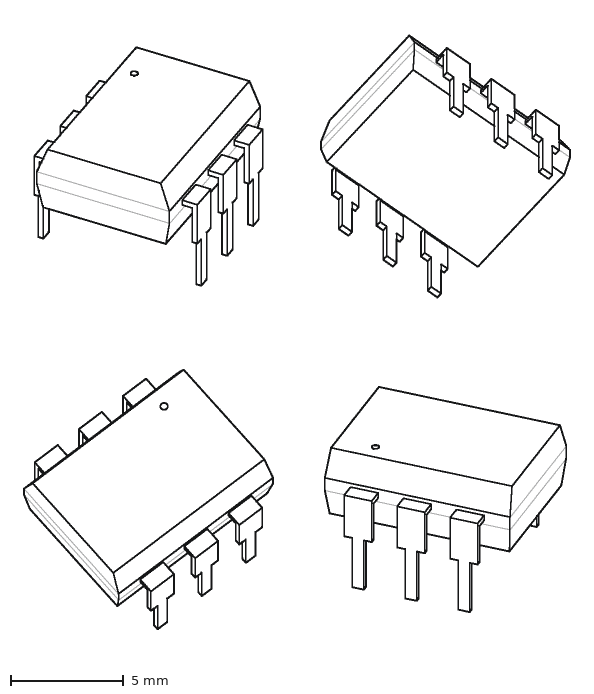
import cadquery as cq


lead_span = 8.13
housing_length = 8.89
overall_height = 6.2

housing_width = 6.62
belt_height = 0.65
taper_height = 1.31
top_side_inset = 0.49
bottom_side_inset = 0.25
top_end_inset = 0.1
bottom_end_inset = 0.13
belt_bottom = taper_height
belt_top = belt_bottom + belt_height
housing_height = belt_top + taper_height

lead_pitch = 2.54
leads_per_side = 3
lead_thickness = 0.26
shoulder_width = 1.325
stem_width = 0.56
shoulder_below_housing = 0.37
lead_top = (belt_bottom + belt_top + lead_thickness) / 2
lead_bottom = housing_height - overall_height

mark_diameter = 0.33
mark_depth = 0.05
mark_x = -2.0
mark_y = lead_pitch


def tapered_half(base_z, height, side_inset, end_inset):
    """Frustum from the belt outline at base_z to an inset outline; a negative height points down."""
    return (
        cq.Workplane("XY", origin=(0, 0, base_z))
        .rect(housing_width, housing_length)
        .workplane(offset=height)
        .rect(housing_width - 2 * side_inset, housing_length - 2 * end_inset)
        .loft(ruled=True)
    )


def make_mark():
    return (
        cq.Workplane("XY", origin=(mark_x, mark_y, housing_height - mark_depth))
        .circle(mark_diameter / 2)
        .extrude(mark_depth)
    )


def make_housing():
    belt = (
        cq.Workplane("XY", origin=(0, 0, belt_bottom))
        .rect(housing_width, housing_length)
        .extrude(belt_height)
    )
    upper_half = tapered_half(belt_top, taper_height, top_side_inset, top_end_inset)
    lower_half = tapered_half(belt_bottom, -taper_height, bottom_side_inset, bottom_end_inset)
    mark_recess = make_mark()
    return belt.union(upper_half).union(lower_half).cut(mark_recess)


def make_lead(side, y):
    """Lead on the given side (-1 for -X, +1 for +X), butting against the belt of the housing."""
    inner_x = side * housing_width / 2
    outer_x = side * lead_span / 2
    bend_x = outer_x - side * lead_thickness
    shoulder = (
        cq.Workplane("XZ", origin=(0, y, 0))
        .moveTo(inner_x, lead_top)
        .lineTo(outer_x, lead_top)
        .lineTo(outer_x, -shoulder_below_housing)
        .lineTo(bend_x, -shoulder_below_housing)
        .lineTo(bend_x, lead_top - lead_thickness)
        .lineTo(inner_x, lead_top - lead_thickness)
        .close()
        .extrude(shoulder_width / 2, both=True)
    )
    stem_length = -shoulder_below_housing - lead_bottom
    stem = (
        cq.Workplane("XY", origin=((outer_x + bend_x) / 2, y, lead_bottom))
        .rect(lead_thickness, stem_width)
        .extrude(stem_length)
    )
    return shoulder.union(stem)


housing = make_housing()
mark = make_mark()

leads = []
for side in (-1, 1):
    for index in range(leads_per_side):
        lead_y = (index - (leads_per_side - 1) / 2) * lead_pitch
        leads.append(make_lead(side, lead_y))

result = cq.Compound.makeCompound([housing.val(), mark.val(), *[lead.val() for lead in leads]])